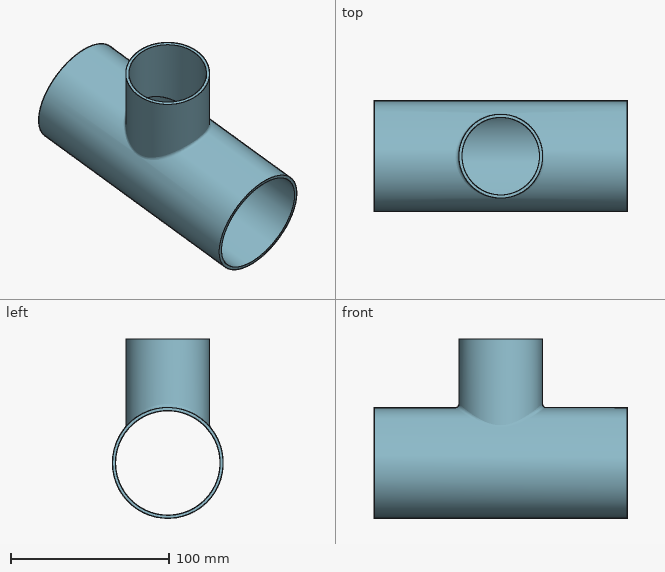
import cadquery as cq

run_length = 160
run_outer_diameter = 70.0
run_inner_diameter = 66.0

branch_outer_diameter = 53.0
branch_inner_diameter = 49.0
branch_height = 78.4

blend_radius = (branch_outer_diameter - branch_inner_diameter) / 2


def run_cylinder(diameter):
    return cq.Workplane("YZ").circle(diameter / 2).extrude(run_length / 2, both=True)


def branch_cylinder(diameter):
    return cq.Workplane("XY").circle(diameter / 2).extrude(branch_height)


def on_saddle(edge):
    """True for the seam between the pipes, away from the pipe ends."""
    box = edge.BoundingBox()
    return box.zmax < branch_height and max(abs(box.xmin), abs(box.xmax)) < run_length / 2


body = run_cylinder(run_outer_diameter).union(branch_cylinder(branch_outer_diameter))
saddle_edges = [edge for edge in body.edges().vals() if on_saddle(edge)]
body = body.newObject(saddle_edges).fillet(blend_radius)

result = body.cut(run_cylinder(run_inner_diameter)).cut(branch_cylinder(branch_inner_diameter))